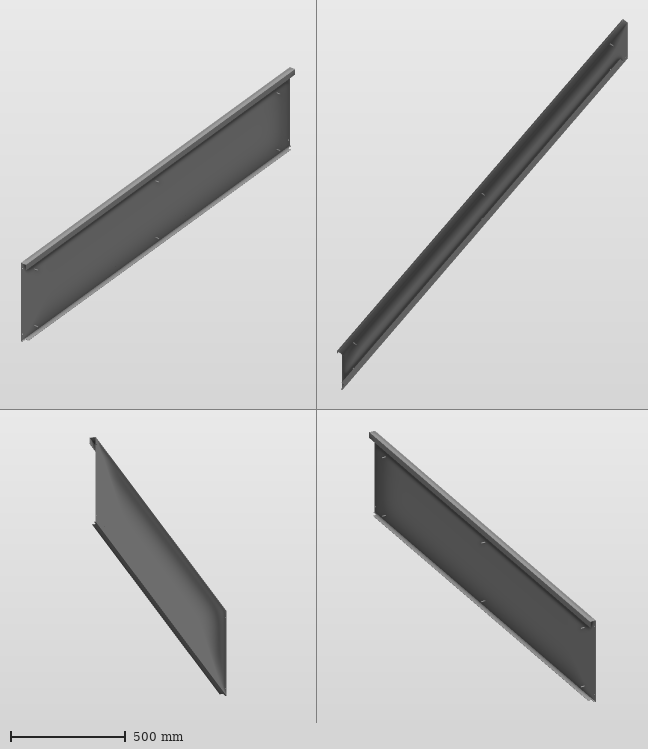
import cadquery as cq

LENGTH = 2000.0
HEIGHT = 402.5
DEPTH = 28.5
SHEET = 1.5

LIP_DROP = 28.0
BOTTOM_FLANGE = 24.0

RELIEF_LENGTH = 25.0
RELIEF_START = 7.0

HOLE_DIAMETER = 7.0
HOLE_END_INSET = 10.0
HOLE_EDGE_INSET = 33.0

STUD_DIAMETER = 6.0
STUD_LENGTH = 18.0
STUD_ROW_HEIGHTS = (31.0, 320.0)
STUD_PITCH = 900.0


def make_folded_sheet():
    profile = [
        (0, 0),
        (BOTTOM_FLANGE, 0),
        (BOTTOM_FLANGE, SHEET),
        (SHEET, SHEET),
        (SHEET, HEIGHT - SHEET),
        (DEPTH - SHEET, HEIGHT - SHEET),
        (DEPTH - SHEET, HEIGHT - LIP_DROP),
        (DEPTH, HEIGHT - LIP_DROP),
        (DEPTH, HEIGHT),
        (0, HEIGHT),
    ]
    return cq.Workplane("XZ").polyline(profile).close().extrude(LENGTH / 2, both=True)


def make_flange_reliefs():
    relief_width = BOTTOM_FLANGE - RELIEF_START
    relief_x = RELIEF_START + relief_width / 2
    relief_y = (LENGTH - RELIEF_LENGTH) / 2
    return (
        cq.Workplane("XY")
        .pushPoints([(relief_x, -relief_y), (relief_x, relief_y)])
        .rect(relief_width, RELIEF_LENGTH)
        .extrude(SHEET)
    )


def make_corner_holes():
    hole_spacing = LENGTH - 2 * HOLE_END_INSET
    hole_rise = HEIGHT - 2 * HOLE_EDGE_INSET
    return (
        cq.Workplane("YZ", origin=(0, 0, HEIGHT / 2))
        .rect(hole_spacing, hole_rise, forConstruction=True)
        .vertices()
        .circle(HOLE_DIAMETER / 2)
        .extrude(SHEET)
    )


def make_panel():
    return make_folded_sheet().cut(make_flange_reliefs()).cut(make_corner_holes())


def make_stud(y, z):
    base = cq.Workplane("YZ", origin=(SHEET, y, z))
    return base.circle(STUD_DIAMETER / 2).extrude(STUD_LENGTH)


panel = make_panel()
studs = [
    make_stud(y, z)
    for y in (-STUD_PITCH, 0, STUD_PITCH)
    for z in STUD_ROW_HEIGHTS
]

result = cq.Compound.makeCompound([panel.val(), *[stud.val() for stud in studs]])